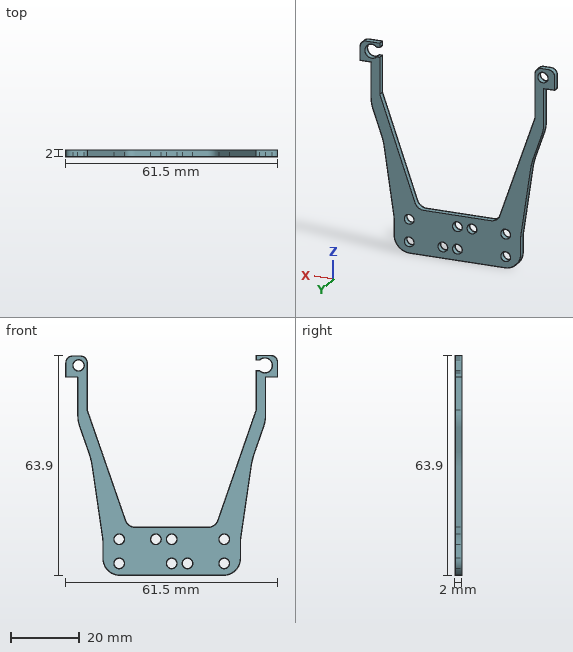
import cadquery as cq

thickness = 2.0
overall_width = 61.55
overall_height = 63.9

base_half_width = 20.0
base_side_top = 10.35
base_corner_radius = 5.0
window_floor = 14.0
window_floor_half_width = 12.7
window_corner_radius = 3.0

arm_inner_x = 24.5
arm_width = 2.8
arm_outer_x = arm_inner_x + arm_width
inner_bend_height = 48.0
outer_bend_height = 44.85
lower_bend_x = 23.4
lower_bend_height = 33.7
upper_bend_radius = 10.0
lower_bend_radius = 20.0
base_bend_radius = 10.0

ear_outer_x = overall_width / 2
ear_bottom = 57.6
left_ear_top = 63.75
right_ear_top = overall_height
ear_corner_radius = 2.0
ear_hole_x = 27.05
ear_hole_height = 61.0
left_ear_hole_diameter = 3.2
hook_diameter = 4.3
hook_mouth_width = 3.0

mount_hole_diameter = 3.0
outer_column_x = 15.25
inner_column_x = 4.6
lower_row_height = 3.5
upper_row_height = 10.5
lower_row_x = (-outer_column_x, 0.0, inner_column_x, outer_column_x)
upper_row_x = (-outer_column_x, -inner_column_x, 0.0, outer_column_x)


def side_profile(ear_top):
    """Right-hand half of the outline with sharp corners, from the bottom edge up and back down."""
    return [
        (0, 0),
        (base_half_width, 0),
        (base_half_width, base_side_top),
        (lower_bend_x, lower_bend_height),
        (arm_outer_x, outer_bend_height),
        (arm_outer_x, ear_bottom),
        (ear_outer_x, ear_bottom),
        (ear_outer_x, ear_top),
        (arm_inner_x, ear_top),
        (arm_inner_x, inner_bend_height),
        (window_floor_half_width, window_floor),
        (0, window_floor),
    ]


def extrude_along_y(sketch):
    """Extrude an XZ sketch through the plate thickness, centred on Y = 0."""
    return sketch.extrude(thickness / 2, both=True)


def side_plate(ear_top):
    return extrude_along_y(cq.Workplane("XZ").polyline(side_profile(ear_top)).close())


def round_corner(plate, x, z, radius):
    """Round the edge running along Y through (x, z)."""
    corner = cq.selectors.NearestToPointSelector((x, 0, z))
    return plate.edges("|Y").edges(corner).fillet(radius)


def round_both_sides(plate, x, z, radius):
    for side in (-1, 1):
        plate = round_corner(plate, side * x, z, radius)
    return plate


def sharp_plate():
    left = side_plate(left_ear_top).mirror("YZ")
    return side_plate(right_ear_top).union(left).clean()


def round_outline(plate):
    plate = round_both_sides(plate, base_half_width, 0, base_corner_radius)
    plate = round_both_sides(plate, base_half_width, base_side_top, base_bend_radius)
    plate = round_both_sides(plate, lower_bend_x, lower_bend_height, lower_bend_radius)
    plate = round_both_sides(plate, arm_outer_x, outer_bend_height, upper_bend_radius)
    plate = round_both_sides(plate, window_floor_half_width, window_floor, window_corner_radius)
    plate = round_corner(plate, -ear_outer_x, left_ear_top, ear_corner_radius)
    plate = round_corner(plate, -arm_inner_x, left_ear_top, ear_corner_radius)
    return round_corner(plate, ear_outer_x, right_ear_top, ear_corner_radius)


def through_holes(places, diameter):
    return extrude_along_y(cq.Workplane("XZ").pushPoints(places).circle(diameter / 2))


def mounting_holes():
    lower_row = [(x, lower_row_height) for x in lower_row_x]
    upper_row = [(x, upper_row_height) for x in upper_row_x]
    return through_holes(lower_row + upper_row, mount_hole_diameter)


def hook_opening():
    """Round seat in the right ear, with a mouth open toward the left arm."""
    seat = through_holes([(ear_hole_x, ear_hole_height)], hook_diameter)
    mouth_length = ear_hole_x - arm_inner_x
    mouth_centre_x = (ear_hole_x + arm_inner_x) / 2
    mouth = extrude_along_y(
        cq.Workplane("XZ").center(mouth_centre_x, ear_hole_height).rect(mouth_length, hook_mouth_width)
    )
    return seat.union(mouth)


plate = round_outline(sharp_plate())
plate = plate.cut(mounting_holes())
plate = plate.cut(through_holes([(-ear_hole_x, ear_hole_height)], left_ear_hole_diameter))
result = plate.cut(hook_opening())